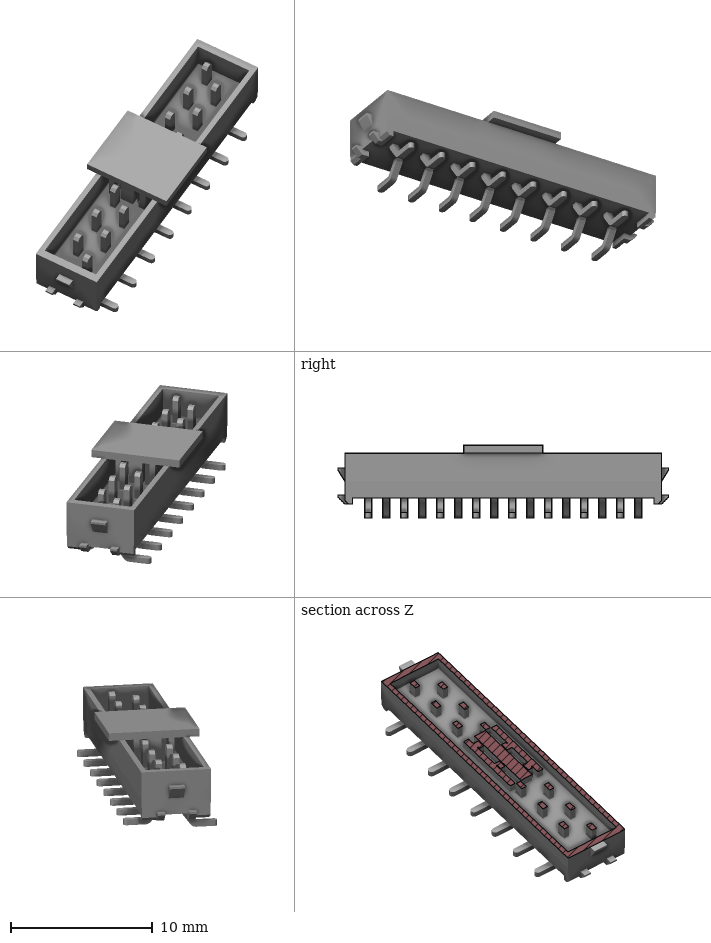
import math

import cadquery as cq

BODY_LENGTH = 22.35
BODY_WIDTH = 5.0
BODY_TOP_Z = 4.6
TAPER_START_Z = 2.6
BODY_BOTTOM_Z = 1.42
FOOT_BOTTOM_Z = 1.0
FOOT_BOTTOM_WIDTH = 4.86
FOOT_LENGTH = 0.55
FOOT_GAP_WIDTH = 1.74
FOOT_CHAMFER = 0.25

CAVITY_WIDTH = 4.2
END_WALL = 0.575
FLOOR_Z = 2.65
FLOOR_FILLET = 0.1

HOOK_REACH = 0.5
HOOK_LIP = 0.15
UPPER_HOOK_WIDTH = 1.1
UPPER_HOOK_TOP_Z = 3.55
UPPER_HOOK_BOTTOM_Z = TAPER_START_Z
LOWER_HOOK_WIDTH = 0.53
LOWER_HOOK_TOP_Z = FOOT_BOTTOM_Z + HOOK_REACH + HOOK_LIP

CONTACTS_PER_ROW = 8
PITCH = 1.27
ROW_X = 0.75
CONTACT_THICKNESS = 0.42
PIN_DEPTH = 0.7
PIN_TOP_Z = 4.6
PIN_CHAMFER = 0.2
PIN_BASE_FILLET = 0.1
LEAD_WIDTH = 0.5
LEAD_TIP_X = 3.25
LEAD_KNEE_X = 1.65
LEAD_SLOPE = math.radians(53)
LEAD_INNER_RADIUS = 0.12

CAP_WIDTH = 2 * LEAD_TIP_X
CAP_LENGTH = 5.6
CAP_TOP_Z = 5.15
RIB_BOTTOM_Z = 3.0
CENTRE_RIB_WIDTH = 1.0
SIDE_RIB_OUTER_X = 1.45
BARB_HEIGHT = 0.1
BARB_TOP_Z = 3.67

END_Y = BODY_LENGTH / 2
ENDS = (-1, 1)
SIDES = (-1, 1)


def box(width, length, bottom_z, top_z):
    """Box centred on the Z axis between two heights."""
    return cq.Workplane("XY", origin=(0, 0, bottom_z)).rect(width, length).extrude(top_z - bottom_z)


def extrude_along_y(points, length):
    """Prism of an (x, z) outline, centred on y = 0."""
    return cq.Workplane("XZ").polyline(points).close().extrude(length / 2, both=True)


def extrude_along_x(outline, width, x):
    """Prism of a closed YZ sketch, centred on the given x."""
    return outline.extrude(width / 2, both=True).translate((x, 0, 0))


def housing():
    top_x = BODY_WIDTH / 2
    bottom_x = FOOT_BOTTOM_WIDTH / 2
    section = [
        (-bottom_x, FOOT_BOTTOM_Z),
        (bottom_x, FOOT_BOTTOM_Z),
        (top_x, TAPER_START_Z),
        (top_x, BODY_TOP_Z),
        (-top_x, BODY_TOP_Z),
        (-top_x, TAPER_START_Z),
    ]
    body = extrude_along_y(section, BODY_LENGTH)
    body = body.faces("<Z").edges("|X").chamfer(FOOT_CHAMFER)

    body = body.cut(box(BODY_WIDTH, BODY_LENGTH - 2 * FOOT_LENGTH, FOOT_BOTTOM_Z, BODY_BOTTOM_Z))
    body = body.cut(box(FOOT_GAP_WIDTH, BODY_LENGTH, FOOT_BOTTOM_Z, BODY_BOTTOM_Z))

    cavity = box(CAVITY_WIDTH, BODY_LENGTH - 2 * END_WALL, FLOOR_Z, BODY_TOP_Z)
    cavity = cavity.faces("<Z").edges("|Y").fillet(FLOOR_FILLET)
    return body.cut(cavity)


def hook(end, x, width, bottom_z, top_z, root_length):
    """Wedge on an end face: flat on top, sloping back to the face below a short lip."""
    face_y = end * END_Y
    tip_y = end * (END_Y + HOOK_REACH)
    root_y = end * (END_Y - root_length)
    outline = (
        cq.Workplane("YZ")
        .moveTo(root_y, bottom_z)
        .lineTo(face_y, bottom_z)
        .lineTo(tip_y, top_z - HOOK_LIP)
        .lineTo(tip_y, top_z)
        .lineTo(root_y, top_z)
        .close()
    )
    return extrude_along_x(outline, width, x)


def end_hooks():
    """One upper and two lower hooks on each end; the lower ones run back through the feet."""
    upper_root = END_WALL / 2
    lower_x = (FOOT_GAP_WIDTH + LOWER_HOOK_WIDTH) / 2
    hooks = []
    for end in ENDS:
        hooks.append(hook(end, 0, UPPER_HOOK_WIDTH, UPPER_HOOK_BOTTOM_Z, UPPER_HOOK_TOP_Z, upper_root))
        for side in SIDES:
            x = side * lower_x
            hooks.append(hook(end, x, LOWER_HOOK_WIDTH, FOOT_BOTTOM_Z, LOWER_HOOK_TOP_Z, FOOT_LENGTH))
    return hooks


def pin():
    """Upright pin of the +X row at y = 0: pointed tip, and a flared foot on the cavity floor."""
    half = PIN_DEPTH / 2
    flare = half + PIN_BASE_FILLET
    flare_z = FLOOR_Z + PIN_BASE_FILLET
    arc_inset = PIN_BASE_FILLET * (1 - math.sqrt(0.5))
    root_z = BODY_BOTTOM_Z
    outline = (
        cq.Workplane("YZ")
        .moveTo(-flare, root_z)
        .lineTo(flare, root_z)
        .lineTo(flare, FLOOR_Z)
        .threePointArc((half + arc_inset, FLOOR_Z + arc_inset), (half, flare_z))
        .lineTo(half, PIN_TOP_Z - PIN_CHAMFER)
        .lineTo(half - PIN_CHAMFER, PIN_TOP_Z)
        .lineTo(PIN_CHAMFER - half, PIN_TOP_Z)
        .lineTo(-half, PIN_TOP_Z - PIN_CHAMFER)
        .lineTo(-half, flare_z)
        .threePointArc((-half - arc_inset, FLOOR_Z + arc_inset), (-flare, FLOOR_Z))
        .close()
    )
    return extrude_along_x(outline, CONTACT_THICKNESS, ROW_X)


def lead():
    """Bent solder lead of the +X row at y = 0: down, sloping outward, then flat to a round tip."""
    inner_x = ROW_X - CONTACT_THICKNESS / 2
    outer_x = ROW_X + CONTACT_THICKNESS / 2
    root_z = (BODY_BOTTOM_Z + FLOOR_Z) / 2
    tip_radius = LEAD_WIDTH / 2
    tip_centre_x = LEAD_TIP_X - tip_radius

    upper_outer_z = CONTACT_THICKNESS + (LEAD_KNEE_X - outer_x) * math.tan(LEAD_SLOPE)
    upper_inner_z = upper_outer_z - CONTACT_THICKNESS * math.tan((math.pi / 2 - LEAD_SLOPE) / 2)
    knee_bottom_x = LEAD_KNEE_X - CONTACT_THICKNESS * math.tan(LEAD_SLOPE / 2)
    strip = extrude_along_y(
        [
            (inner_x, root_z),
            (inner_x, upper_inner_z),
            (knee_bottom_x, 0),
            (tip_centre_x, 0),
            (tip_centre_x, CONTACT_THICKNESS),
            (LEAD_KNEE_X, CONTACT_THICKNESS),
            (outer_x, upper_outer_z),
            (outer_x, root_z),
        ],
        LEAD_WIDTH,
    )

    bend_outer_radius = LEAD_INNER_RADIUS + CONTACT_THICKNESS
    bends = [
        (inner_x, upper_inner_z, bend_outer_radius),
        (knee_bottom_x, 0, bend_outer_radius),
        (LEAD_KNEE_X, CONTACT_THICKNESS, LEAD_INNER_RADIUS),
        (outer_x, upper_outer_z, LEAD_INNER_RADIUS),
    ]
    for x, z, radius in bends:
        strip = strip.edges(cq.NearestToPointSelector((x, 0, z))).fillet(radius)

    tip = cq.Workplane("XY").center(tip_centre_x, 0).circle(tip_radius).extrude(CONTACT_THICKNESS)
    return strip.union(tip)


def contacts():
    """Both contact rows; the -X row is the +X row turned half a revolution about Z."""
    contact = pin().union(lead())
    first_y = -(CONTACTS_PER_ROW - 0.5) * PITCH
    placed = []
    for index in range(CONTACTS_PER_ROW):
        right = contact.translate((0, first_y + 2 * PITCH * index, 0))
        placed.append(right)
        placed.append(right.rotate((0, 0, 0), (0, 0, 1), 180))
    return placed


def pick_up_cap():
    barb_x = ROW_X + CONTACT_THICKNESS / 2
    rib_inner_x = barb_x + BARB_HEIGHT
    plate = box(CAP_WIDTH, CAP_LENGTH, BODY_TOP_Z, CAP_TOP_Z)
    cap = plate.union(box(CENTRE_RIB_WIDTH, CAP_LENGTH, RIB_BOTTOM_Z, BODY_TOP_Z))
    for side in SIDES:
        section = [
            (side * barb_x, RIB_BOTTOM_Z),
            (side * SIDE_RIB_OUTER_X, RIB_BOTTOM_Z),
            (side * SIDE_RIB_OUTER_X, BODY_TOP_Z),
            (side * rib_inner_x, BODY_TOP_Z),
            (side * rib_inner_x, BARB_TOP_Z),
            (side * barb_x, BARB_TOP_Z - BARB_HEIGHT),
        ]
        cap = cap.union(extrude_along_y(section, CAP_LENGTH))
    return cap


result = housing()
for piece in end_hooks() + contacts() + [pick_up_cap()]:
    result = result.union(piece)